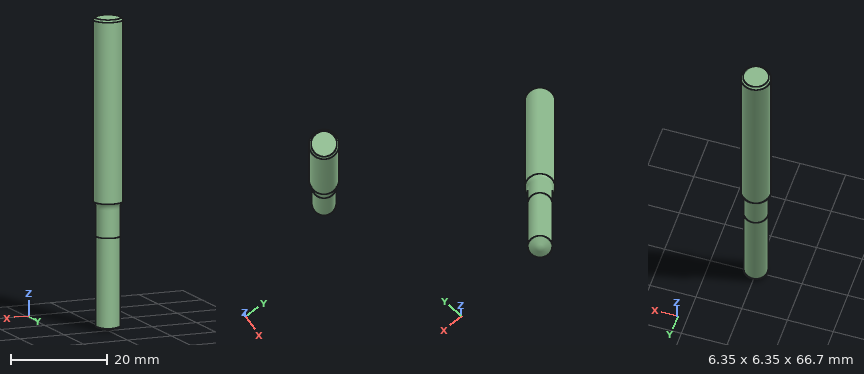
import cadquery as cq
import math

total_length = 66.7

shank_radius = 6.35 / 2
shank_bottom = 27.55
end_chamfer = 0.5

drill_radius = 5.15 / 2
joint_height = 20.15
point_angle = 140.0
point_height = drill_radius / math.tan(math.radians(point_angle / 2))

fillet_height = 1.4
shoulder_width = shank_radius - drill_radius
fillet_radius = (shoulder_width**2 + fillet_height**2) / (2 * shoulder_width)
neck_top = shank_bottom - fillet_height


def revolve_about_z(profile):
    """Turn a closed radius-height profile around the Z axis."""
    return profile.revolve(360, (0, 0, 0), (0, 1, 0))


def make_shank():
    """Chamfered shank and neck, joined by the concave fillet."""
    half_sweep = math.asin(fillet_height / fillet_radius) / 2
    fillet_middle = (
        drill_radius + fillet_radius * (1 - math.cos(half_sweep)),
        neck_top + fillet_radius * math.sin(half_sweep),
    )
    profile = (
        cq.Workplane("XZ")
        .moveTo(0, joint_height)
        .lineTo(drill_radius, joint_height)
        .lineTo(drill_radius, neck_top)
        .threePointArc(fillet_middle, (shank_radius, shank_bottom))
        .lineTo(shank_radius, total_length - end_chamfer)
        .lineTo(shank_radius - end_chamfer, total_length)
        .lineTo(0, total_length)
        .close()
    )
    return revolve_about_z(profile)


def make_drill_tip():
    """Plain cylinder with a conical point, butted against the neck."""
    profile = (
        cq.Workplane("XZ")
        .moveTo(0, 0)
        .lineTo(drill_radius, point_height)
        .lineTo(drill_radius, joint_height)
        .lineTo(0, joint_height)
        .close()
    )
    return revolve_about_z(profile)


shank = make_shank()
drill_tip = make_drill_tip()

result = cq.Compound.makeCompound([shank.val(), drill_tip.val()])